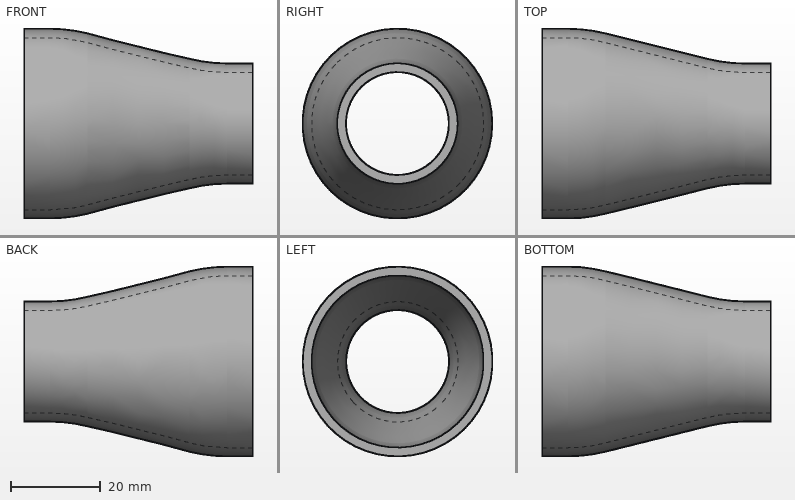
import cadquery as cq
import math

length = 51.0
large_radius = 42.4 / 2
small_radius = 26.9 / 2
wall = 2.0
collar_length = 5.7
bend_length = 8.4

radius_drop = large_radius - small_radius
cone_length = length - 2 * (collar_length + bend_length)
cone_angle = 0.0
for _ in range(20):
    bend_drop = bend_length * math.tan(cone_angle / 2)
    cone_angle = math.atan((radius_drop - 2 * bend_drop) / cone_length)
bend_radius = bend_length / math.sin(cone_angle)


def bend_point(center_x, center_radius, radius, angle):
    """Point on a bend, at an angle measured from the radial direction."""
    return (center_x + radius * math.sin(angle), center_radius + radius * math.cos(angle))


def revolved_body(inset):
    """Solid of revolution whose skin lies a constant inset inside the outer skin."""
    large_bend = (collar_length, large_radius - bend_radius, bend_radius - inset)
    small_bend = (length - collar_length, small_radius + bend_radius, -(bend_radius + inset))
    profile = (
        cq.Workplane("XY")
        .moveTo(0, 0)
        .lineTo(0, large_radius - inset)
        .lineTo(collar_length, large_radius - inset)
        .threePointArc(bend_point(*large_bend, cone_angle / 2), bend_point(*large_bend, cone_angle))
        .lineTo(*bend_point(*small_bend, cone_angle))
        .threePointArc(bend_point(*small_bend, cone_angle / 2), bend_point(*small_bend, 0))
        .lineTo(length, small_radius - inset)
        .lineTo(length, 0)
        .close()
    )
    return profile.revolve(360, (0, 0, 0), (1, 0, 0))


result = revolved_body(0).cut(revolved_body(wall))